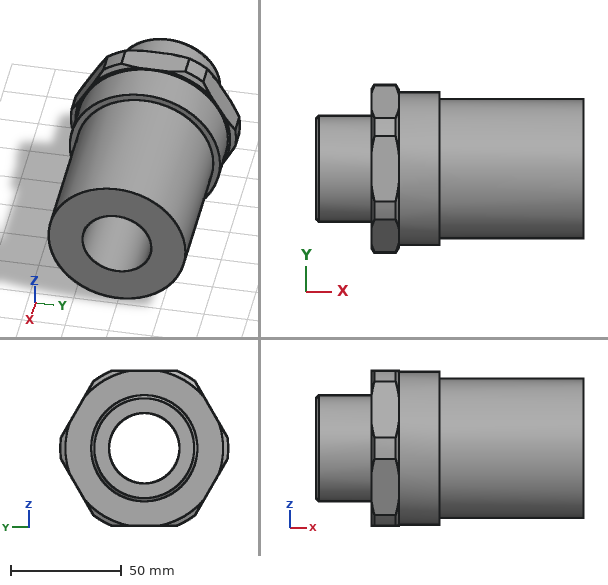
import cadquery as cq
import math

total_length = 121.0

spigot_diameter = 48.0
spigot_length = 25.0
spigot_chamfer = 1.5

hex_across_flats = 70.0
hex_corner_diameter = 76.0
hex_face_diameter = 71.3
hex_length = 12.5
hex_chamfer_length = 1.5

collar_diameter = 69.2
collar_end = 55.9
body_diameter = 63.0

bore_diameter = 31.7


def cylinder(start, end, diameter):
    """Solid cylinder along X between two stations."""
    return cq.Workplane("YZ", origin=(start, 0, 0)).circle(diameter / 2).extrude(end - start)


def hex_section():
    """Hexagon with flats at top and bottom, trimmed by a double-chamfered cylinder."""
    start = spigot_length
    end = start + hex_length
    corner_radius = hex_corner_diameter / 2
    face_radius = hex_face_diameter / 2
    across_corners = hex_across_flats / math.cos(math.radians(30))
    prism = cq.Workplane("YZ", origin=(start, 0, 0)).polygon(6, across_corners).extrude(hex_length)
    turned_blank = (
        cq.Workplane("XY")
        .polyline([
            (start, 0),
            (start, face_radius),
            (start + hex_chamfer_length, corner_radius),
            (end - hex_chamfer_length, corner_radius),
            (end, face_radius),
            (end, 0),
        ])
        .close()
        .revolve(360, (0, 0, 0), (1, 0, 0))
    )
    return prism.intersect(turned_blank)


spigot = cylinder(0, spigot_length, spigot_diameter).faces("<X").chamfer(spigot_chamfer)
collar = cylinder(spigot_length + hex_length, collar_end, collar_diameter)
body = cylinder(collar_end, total_length, body_diameter)
bore = cylinder(0, total_length, bore_diameter)

result = spigot.union(hex_section()).union(collar).union(body).cut(bore)